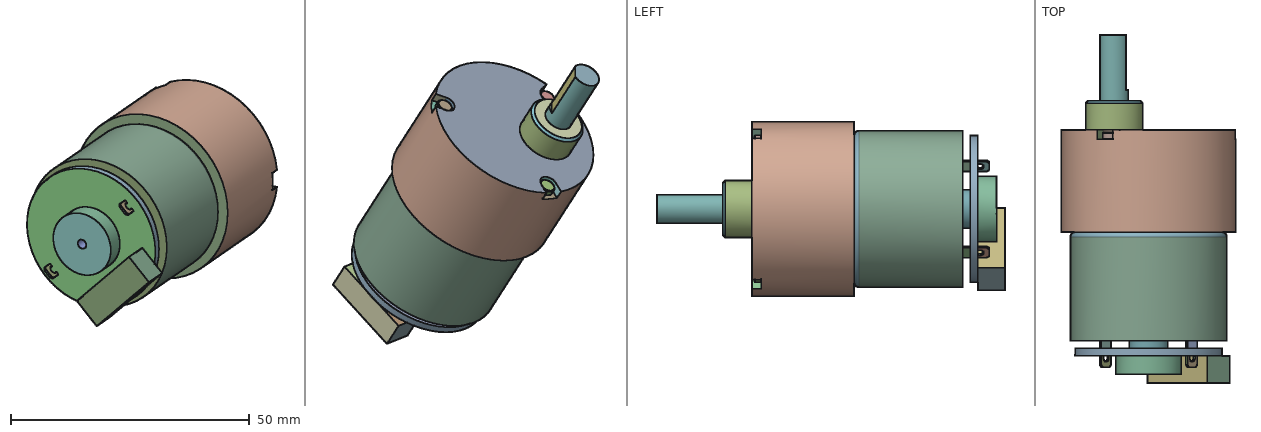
import cadquery as cq


gearbox_diameter = 36.6
gearbox_length = 21.4

shaft_offset = -7.2
boss_diameter = 12.0
boss_length = 6.15
boss_chamfer = 0.55
shaft_diameter = 6.0
shaft_tip_y = 19.9
flat_depth = 0.5
flat_length = 11.5

notch_count = 3
notch_width = 3.85
notch_depth = 2.0
screw_head_diameter = 3.4
screw_circle_radius = 15.8
screw_head_height = 1.5
screw_head_chamfer = 0.2

motor_diameter = 32.8
motor_length = 22.75
motor_fillet = 1.0
collar_diameter = 8.12

board_gap = 1.55
board_diameter = 30.8
board_thickness = 1.6
magnet_diameter = 13.8
magnet_length = 3.9
magnet_bore_diameter = 2.0
connector_length = 17.7
connector_inner_distance = 8.5
connector_width = 6.75
connector_height = 5.7

terminal_width = 2.9
terminal_thickness = 0.5
terminal_radius = 12.75
terminal_overhang = 2.4
terminal_corner_chamfer = 0.5
terminal_hole_diameter = 1.6
terminal_hole_from_tip = 2.0

encoder_angle = 45.0

motor_end_y = -gearbox_length - motor_length
board_front_y = motor_end_y - board_gap
board_rear_y = board_front_y - board_thickness
terminal_tip_y = board_rear_y - terminal_overhang


def cylinder(diameter, start_y, end_y, x=0.0):
    """Cylinder along Y between two stations, start_y being the lower one; x places its axis."""
    return (
        cq.Workplane("XZ", origin=(x, start_y, 0))
        .circle(diameter / 2)
        .extrude(start_y - end_y)
    )


def box(x_range, y_range, z_range):
    """Axis-aligned box from its limits."""
    (x0, x1), (y0, y1), (z0, z1) = x_range, y_range, z_range
    return cq.Workplane("XY").box(x1 - x0, y1 - y0, z1 - z0, centered=False).translate((x0, y0, z0))


def turn(body, angle):
    """Turn a body about the motor axis, from +X towards +Z."""
    return body.rotate((0, 0, 0), (0, -1, 0), angle)


def make_gearbox():
    """Gearbox housing with rim notches that open outwards, each holding a chamfered screw head."""
    body = cylinder(gearbox_diameter, -gearbox_length, 0)
    pocket = cylinder(notch_width, -notch_depth, 0, screw_circle_radius)
    opening = box(
        (screw_circle_radius, gearbox_diameter / 2 + notch_depth),
        (-notch_depth, 0),
        (-notch_width / 2, notch_width / 2),
    )
    notch = pocket.union(opening)
    screw_top_y = screw_head_height - notch_depth
    screw_head = cylinder(screw_head_diameter, -notch_depth, screw_top_y, screw_circle_radius)
    screw_head = screw_head.edges("%CIRCLE").chamfer(screw_head_chamfer)
    for i in range(notch_count):
        angle = 360 / notch_count * i
        body = body.cut(turn(notch, angle)).union(turn(screw_head, angle))
    return body


def make_output_shaft():
    """Chamfered boss and D-shaped shaft with a short full-round stretch at its foot."""
    boss = cylinder(boss_diameter, 0, boss_length, shaft_offset).faces(">Y").chamfer(boss_chamfer)
    shaft = cylinder(shaft_diameter, 0, shaft_tip_y, shaft_offset)
    flat_x = shaft_offset + shaft_diameter / 2 - flat_depth
    flat = box(
        (flat_x, flat_x + shaft_diameter),
        (shaft_tip_y - flat_length, shaft_tip_y),
        (-shaft_diameter, shaft_diameter),
    )
    return boss.union(shaft.cut(flat))


def make_motor():
    """Motor can with a rounded shoulder, and the collar that carries the encoder board."""
    can = cylinder(motor_diameter, motor_end_y, -gearbox_length).faces(">Y").edges().fillet(motor_fillet)
    return can.union(cylinder(collar_diameter, board_front_y, motor_end_y))


def make_terminal():
    """Flat blade on the +X side, from the can through the board, with a cross hole."""
    blade = box(
        (terminal_radius - terminal_thickness / 2, terminal_radius + terminal_thickness / 2),
        (terminal_tip_y, motor_end_y),
        (-terminal_width / 2, terminal_width / 2),
    )
    blade = blade.edges("|X and <Y").chamfer(terminal_corner_chamfer)
    hole = (
        cq.Workplane("YZ")
        .center(terminal_tip_y + terminal_hole_from_tip, 0)
        .circle(terminal_hole_diameter / 2)
        .extrude(terminal_radius + terminal_thickness)
    )
    return blade.cut(hole)


def make_encoder():
    """Round board with the bored magnet and the block connector on its rear face."""
    magnet_end_y = board_rear_y - magnet_length
    board = cylinder(board_diameter, board_rear_y, board_front_y)
    magnet = cylinder(magnet_diameter, magnet_end_y, board_rear_y)
    bore = cylinder(magnet_bore_diameter, magnet_end_y, board_rear_y)
    connector = box(
        (connector_inner_distance, connector_inner_distance + connector_width),
        (board_rear_y - connector_height, board_rear_y),
        (-connector_length / 2, connector_length / 2),
    )
    return board.union(magnet.cut(bore)).union(turn(connector, -encoder_angle))


result = make_gearbox().union(make_output_shaft()).union(make_motor()).union(make_encoder())
for side_angle in (0, 180):
    result = result.union(turn(make_terminal(), encoder_angle + side_angle))